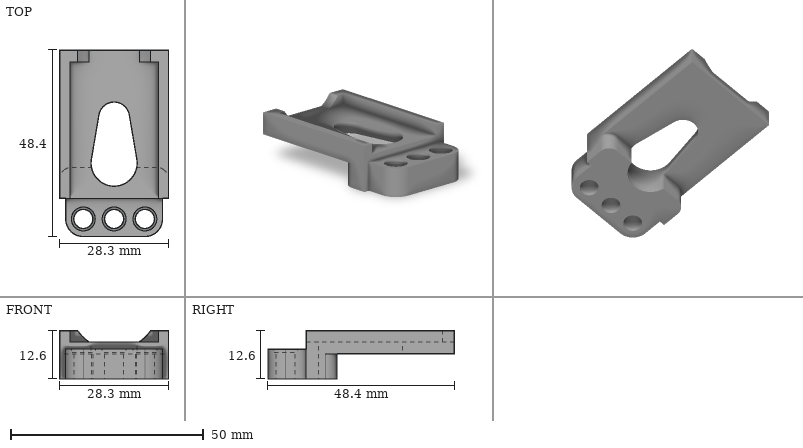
import cadquery as cq
import math

width = 28.3
length = 48.4
height = 12.6

tray_front = 9.9
tray_thickness = 6.0
rail_width = 2.65
pocket_depth = 2.9
lip_length = 3.05
lip_arc_radius = 11.6
lip_gap_top = 18.95
leg_length = 8.05
leg_corner_radius = 3.05

hole_pitch = 8.0
corner_radius = 4.6
block_height = 7.8
hole_diameter = 4.9
counterbore_diameter = 6.2
counterbore_depth = 0.8

small_radius = 3.95
large_radius = 5.95
small_center_y = 30.95
large_center_y = 19.05

floor_z = height - pocket_depth
tray_bottom_z = height - tray_thickness


def box(size_x, start_y, end_y, start_z, end_z):
    """Box centred on X between the given Y and Z limits."""
    solid = cq.Workplane("XY").box(size_x, end_y - start_y, end_z - start_z, centered=(True, False, False))
    return solid.translate((0, start_y, start_z))


def make_tray():
    tray = box(width, tray_front, length, tray_bottom_z, height)
    leg = box(width, tray_front, tray_front + leg_length, 0, tray_bottom_z)
    leg = leg.edges("|Z").edges(">Y").fillet(leg_corner_radius)
    pocket = box(width - 2 * rail_width, tray_front, length - lip_length, floor_z, height)
    axis_z = height + math.sqrt(lip_arc_radius**2 - (lip_gap_top / 2) ** 2)
    lip_cylinder = (
        cq.Workplane("XZ", origin=(0, length, axis_z))
        .circle(lip_arc_radius)
        .extrude(lip_length)
    )
    lip_gap = lip_cylinder.intersect(box(width, length - lip_length, length, floor_z, height))
    return tray.union(leg).cut(pocket).cut(lip_gap)


def make_block():
    block_width = 2 * (hole_pitch + corner_radius)
    block_end = tray_front + leg_length - leg_corner_radius
    block = box(block_width, 0, block_end, 0, block_height)
    return block.edges("|Z").edges("<Y").fillet(corner_radius)


def make_opening():
    """Cutter for the tapered opening, passing through the tray floor."""
    tangent_angle = math.asin((large_radius - small_radius) / (small_center_y - large_center_y))
    cos_angle = math.cos(tangent_angle)
    sin_angle = math.sin(tangent_angle)
    small_x = small_radius * cos_angle
    small_y = small_center_y + small_radius * sin_angle
    large_x = large_radius * cos_angle
    large_y = large_center_y + large_radius * sin_angle
    return (
        cq.Workplane("XY")
        .moveTo(-large_x, large_y)
        .lineTo(-small_x, small_y)
        .threePointArc((0, small_center_y + small_radius), (small_x, small_y))
        .lineTo(large_x, large_y)
        .threePointArc((0, large_center_y - large_radius), (-large_x, large_y))
        .close()
        .extrude(height)
    )


def drill_block(body):
    """Row of counterbored through holes along the front of the block."""
    hole_centers = [(column * hole_pitch, corner_radius) for column in (-1, 0, 1)]
    holes = cq.Workplane("XY").pushPoints(hole_centers).circle(hole_diameter / 2).extrude(block_height)
    counterbores = (
        cq.Workplane("XY", origin=(0, 0, block_height - counterbore_depth))
        .pushPoints(hole_centers)
        .circle(counterbore_diameter / 2)
        .extrude(counterbore_depth)
    )
    return body.cut(holes).cut(counterbores)


body = make_tray().union(make_block())
result = drill_block(body.cut(make_opening()))